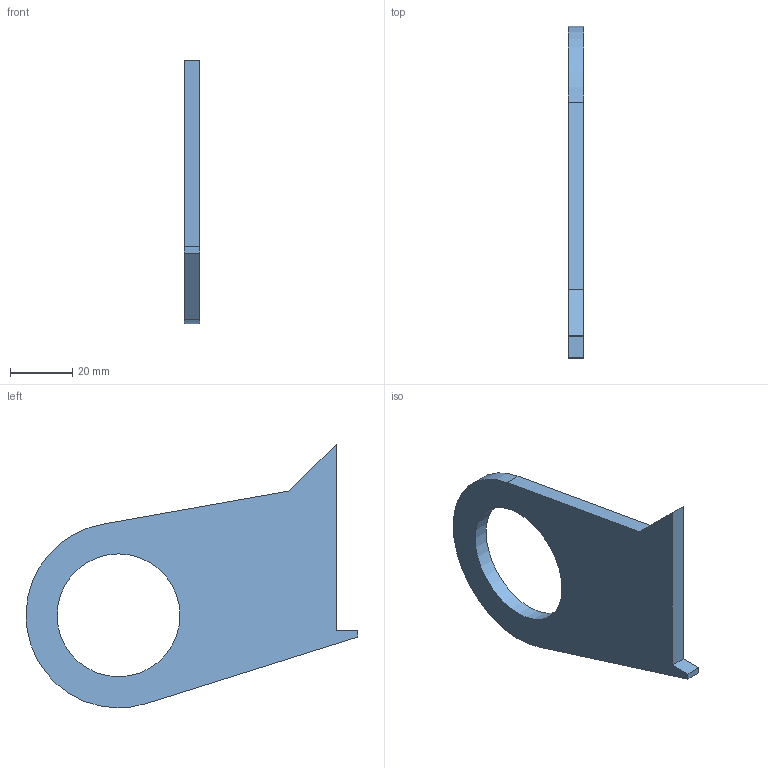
import cadquery as cq
import math

thickness = 5.0

hole_radius = 19.75
rim_width = 10.0
eye_radius = hole_radius + rim_width

end_face_y = -70.0
end_face_length = 60.0
lug_top_z = -5.0
peak_z = lug_top_z + end_face_length

peak_size = 15.0
valley_y = end_face_y + peak_size
valley_z = peak_z - peak_size

lug_length = 7.0
lug_tip_height = 2.0
lug_tip_y = end_face_y - lug_length
lug_tip_z = lug_top_z - lug_tip_height


def tangent_point(y, z, side):
    """Point where the line from (y, z) touches the eye; side is +1 or -1 about +X."""
    distance = math.hypot(y, z)
    angle = math.atan2(z, y) + side * math.acos(eye_radius / distance)
    return (eye_radius * math.cos(angle), eye_radius * math.sin(angle))


def make_plate():
    """Plate outline: eye arc, two edges tangent to it, peak, end face and lug."""
    upper_tangent = tangent_point(valley_y, valley_z, -1)
    lower_tangent = tangent_point(lug_tip_y, lug_tip_z, 1)
    return (
        cq.Workplane("YZ")
        .moveTo(*upper_tangent)
        .lineTo(valley_y, valley_z)
        .lineTo(end_face_y, peak_z)
        .lineTo(end_face_y, lug_top_z)
        .lineTo(lug_tip_y, lug_top_z)
        .lineTo(lug_tip_y, lug_tip_z)
        .lineTo(*lower_tangent)
        .threePointArc((eye_radius, 0), upper_tangent)
        .close()
        .extrude(thickness)
    )


def make_hole():
    """Cylinder that removes the hole through the eye."""
    return cq.Workplane("YZ").circle(hole_radius).extrude(thickness)


result = make_plate().cut(make_hole())